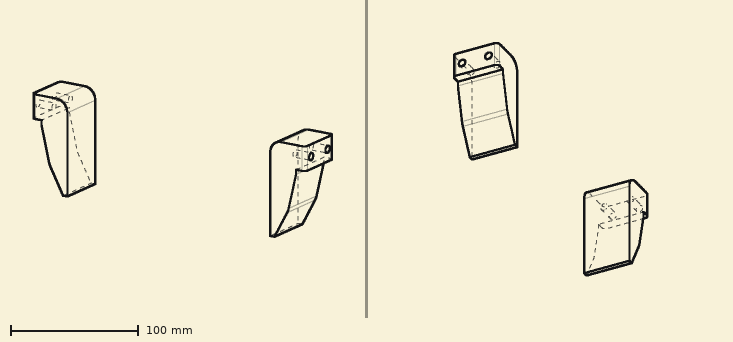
import cadquery as cq

span = 256.0
width = 40.0
height = 78.5

depth = 33.0
head_height = 20.2
step_depth = 8.7
shank_straight = 3.8
bend_x = 16.0
bend_z = -55.0
tip_width = 4.0
top_radius = 10.0
bend_radius = 15.0
head_corner_radius = 3.0

hole_diameter = 6.0
hole_depth = 15.0
hole_spacing = 23.3
hole_drop = head_height / 2

taper_start_z = -head_height - shank_straight
tip_x = depth - tip_width


def finger_blank():
    """Extruded profile: outer face at x = 0, top at z = 0, centred on y = 0."""
    return (
        cq.Workplane("XZ")
        .lineTo(depth - top_radius, 0)
        .radiusArc((depth, -top_radius), top_radius)
        .lineTo(depth, -height)
        .lineTo(tip_x, -height)
        .lineTo(bend_x, bend_z)
        .lineTo(step_depth, taper_start_z)
        .lineTo(step_depth, -head_height)
        .lineTo(0, -head_height)
        .close()
        .extrude(width / 2, both=True)
    )


def round_edges(blank):
    """Round the outer upright corners of the head and the bend of the shank."""
    bend_edge = cq.selectors.NearestToPointSelector((bend_x, 0, bend_z))
    return (
        blank.faces("<X")
        .edges("|Z")
        .fillet(head_corner_radius)
        .edges(bend_edge)
        .fillet(bend_radius)
    )


def mounting_holes():
    """Two cylinders running inward from the outer face."""
    return (
        cq.Workplane("YZ")
        .pushPoints([(side * hole_spacing / 2, -hole_drop) for side in (-1, 1)])
        .circle(hole_diameter / 2)
        .extrude(hole_depth)
    )


def gripper_finger(side):
    """One finger; side is -1 for the -X finger and 1 for its mirror image."""
    finger = round_edges(finger_blank()).cut(mounting_holes())
    if side > 0:
        finger = finger.mirror("YZ")
    return finger.translate((side * span / 2, 0, height))


fingers = [gripper_finger(side) for side in (-1, 1)]

result = cq.Compound.makeCompound([finger.solids().val() for finger in fingers])